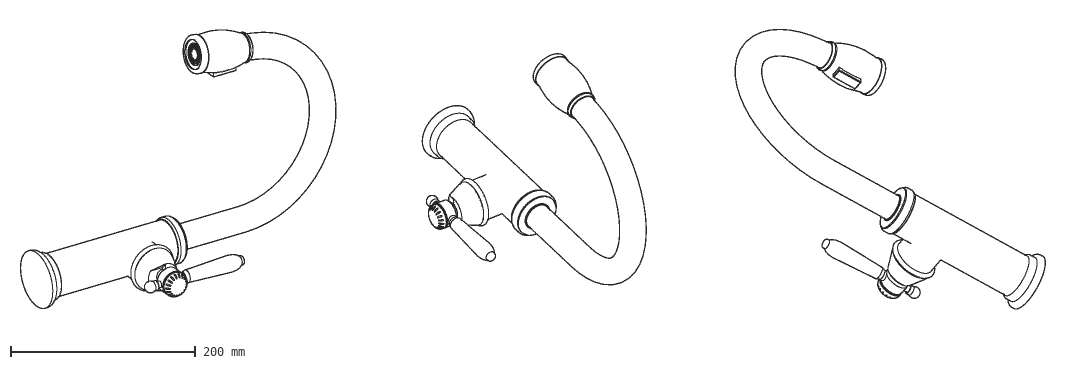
import cadquery as cq
import math

X_DIR = cq.Vector(1, 0, 0)
Y_DIR = cq.Vector(0, 1, 0)

TOTAL_LENGTH = 381.5
BASE_RADIUS = 32.5
BASE_ROUND = 4.5
BASE_HEIGHT = 7.3
PLINTH_ROUND = 2.5
PLINTH_TOP = 16.0
COLUMN_RADIUS = 24.5
PLINTH_RADIUS = COLUMN_RADIUS + PLINTH_ROUND
COLLAR_BOTTOM = 165.5
COLLAR_TOP = 178.0
COLLAR_RADIUS = 26.7
COLLAR_LIP_RADIUS = 25.5
COLLAR_LIP_HEIGHT = 2.5
COLLAR_CAP_HEIGHT = 1.5
COLLAR_ROUND = 2.3

SPOUT_RADIUS = 14.5
SPOUT_BEND_RADIUS = 104.0
BEND_START = TOTAL_LENGTH - SPOUT_RADIUS - SPOUT_BEND_RADIUS
TILT_ANGLE = math.radians(8.4)
HEAD_Y = BEND_START + SPOUT_BEND_RADIUS * math.sin(TILT_ANGLE)
HEAD_Z = SPOUT_BEND_RADIUS * (1 + math.cos(TILT_ANGLE))
SPOUT_SEAT_RADIUS = 15.5
SPOUT_SEAT_TOP = COLLAR_TOP + 1.0

NECK_LENGTH = 11.0
HEAD_STEP_RADIUS = 15.5
HEAD_COLLAR_RADIUS = 16.8
HEAD_COLLAR_END = 14.5
BARREL_START = 16.0
BARREL_START_RADIUS = 16.5
BARREL_BELLY = 45.0
BARREL_BELLY_RADIUS = 23.0
BARREL_END = 69.5
BARREL_END_RADIUS = 20.5
HEAD_RIM_START = 72.0
HEAD_RIM_RADIUS = 21.5
HEAD_LENGTH = 78.5
HEAD_RIM_ROUND = 2.5
FACE_RADIUS = 16.5
FACE_DEPTH = 1.5
NOZZLE_GROOVE_RADII = (6.0, 8.5, 10.5)
NOZZLE_GROOVE_WIDTH = 1.5
NOZZLE_GROOVE_DEPTH = 1.0

BUTTON_LENGTH = 29.0
BUTTON_WIDTH = 11.5
BUTTON_CENTRE_Y = 237.8
BUTTON_BOTTOM_Z = 186.3
BUTTON_HEIGHT = 11.5
BUTTON_BEVEL = 0.8

HUB_Y = 120.2
HUB_RADIUS = 23.0
HUB_RING_START = 41.5
HUB_RING_END = 46.5
HUB_RING_RADIUS = 27.0
CONE_COLLAR_START = 47.7
CONE_COLLAR_RADIUS = 24.8
CONE_START = 51.5
CONE_START_RADIUS = 24.0
CONE_END = 70.2
CONE_END_RADIUS = 16.0
HUB_BLEND = 1.0

NOTCH_BOTTOM = 65.0
NOTCH_HALF_WIDTH = 9.5

STEM_RADIUS = 7.5
KNOB_START = 72.5
KNOB_START_RADIUS = 11.0
KNOB_BAND_START = 75.5
KNOB_BAND_END = 87.0
KNOB_RADIUS = 14.0
KNOB_GROOVE_RADIUS = 13.5
KNOB_CAP_START = 88.5
KNOB_CAP_STRAIGHT = 2.0
KNOB_END = 96.5
KNOB_END_RADIUS = 8.5
FLUTE_COUNT = 18
FLUTE_RADIUS = 0.8

LEVER_X = 81.0
LEVER_NECK_Y = HUB_Y + 16.5
LEVER_NECK_RADIUS = 5.7
LEVER_NECK_TOP = 141.0
LEVER_SHAFT_START = 143.0
LEVER_SHAFT_RADIUS = 7.3
LEVER_WIDEST_Y = 195.8
LEVER_WIDEST_RADIUS = 9.5
LEVER_DOME_END = 208.8
LEVER_TIP_RADIUS = 5.5
LEVER_TIP_END = 212.5
LEVER_TIP_ROUND = 2.0
FINIAL_NECK_RADIUS = 4.0
FINIAL_COLLAR_RADIUS = 5.5
FINIAL_COLLAR_START = 97.7
FINIAL_COLLAR_END = 102.0
FINIAL_BALL_Y = 94.3
FINIAL_BALL_RADIUS = 6.5


def profile(origin, axis, side):
    """Half-section sketch: local x is the radius, local y the distance along the axis."""
    plane = cq.Plane(origin=origin, xDir=side, normal=side.cross(axis))
    return cq.Workplane(plane).moveTo(0, 0)


def turn(outline):
    return outline.close().revolve(360, (0, 0, 0), (0, 1, 0))


def quarter_round(outline, radius, height, size):
    """Go up to a convex quarter-round whose outer corner is at (radius, height)."""
    middle = (radius - size + size * math.sqrt(0.5), height - size + size * math.sqrt(0.5))
    return outline.lineTo(radius, height - size).threePointArc(middle, (radius - size, height))


def make_column():
    outline = profile((0, 0, 0), Y_DIR, X_DIR).lineTo(BASE_RADIUS, 0)
    outline = quarter_round(outline, BASE_RADIUS, BASE_HEIGHT, BASE_ROUND)
    outline = outline.lineTo(PLINTH_RADIUS, BASE_HEIGHT)
    outline = quarter_round(outline, PLINTH_RADIUS, PLINTH_TOP, PLINTH_ROUND)
    outline = (
        outline.lineTo(COLUMN_RADIUS, COLLAR_BOTTOM)
        .lineTo(COLLAR_LIP_RADIUS, COLLAR_BOTTOM)
        .lineTo(COLLAR_RADIUS, COLLAR_BOTTOM + COLLAR_LIP_HEIGHT)
    )
    outline = quarter_round(outline, COLLAR_RADIUS, COLLAR_TOP - COLLAR_CAP_HEIGHT, COLLAR_ROUND)
    outline = (
        outline.lineTo(COLLAR_RADIUS - COLLAR_ROUND, COLLAR_TOP)
        .lineTo(SPOUT_SEAT_RADIUS, COLLAR_TOP)
        .lineTo(SPOUT_SEAT_RADIUS, SPOUT_SEAT_TOP)
        .lineTo(0, SPOUT_SEAT_TOP)
    )
    return turn(outline)


def make_spout():
    return (
        cq.Workplane("XZ", origin=(0, COLLAR_BOTTOM, 0))
        .circle(SPOUT_RADIUS)
        .sweep(
            cq.Workplane("YZ")
            .moveTo(COLLAR_BOTTOM, 0)
            .lineTo(BEND_START, 0)
            .threePointArc((BEND_START + SPOUT_BEND_RADIUS, SPOUT_BEND_RADIUS), (HEAD_Y, HEAD_Z))
        )
    )


def make_head():
    axis = cq.Vector(0, -math.cos(TILT_ANGLE), math.sin(TILT_ANGLE))
    outline = (
        profile((0, HEAD_Y, HEAD_Z), axis, X_DIR)
        .lineTo(SPOUT_RADIUS, 0)
        .lineTo(SPOUT_RADIUS, NECK_LENGTH)
        .lineTo(HEAD_STEP_RADIUS, NECK_LENGTH)
        .threePointArc(
            (HEAD_COLLAR_RADIUS, (NECK_LENGTH + HEAD_COLLAR_END) / 2),
            (BARREL_START_RADIUS, HEAD_COLLAR_END),
        )
        .lineTo(BARREL_START_RADIUS, BARREL_START)
        .threePointArc((BARREL_BELLY_RADIUS, BARREL_BELLY), (BARREL_END_RADIUS, BARREL_END))
        .lineTo(BARREL_END_RADIUS, HEAD_RIM_START)
        .lineTo(HEAD_RIM_RADIUS, HEAD_RIM_START)
    )
    outline = quarter_round(outline, HEAD_RIM_RADIUS, HEAD_LENGTH, HEAD_RIM_ROUND)
    outline = (
        outline.lineTo(FACE_RADIUS, HEAD_LENGTH)
        .lineTo(FACE_RADIUS, HEAD_LENGTH - FACE_DEPTH)
        .lineTo(0, HEAD_LENGTH - FACE_DEPTH)
    )
    head = turn(outline)

    face_centre = cq.Vector(0, HEAD_Y, HEAD_Z) + axis * (HEAD_LENGTH - FACE_DEPTH)
    face = cq.Workplane(cq.Plane(origin=face_centre, xDir=X_DIR, normal=axis))
    for radius in NOZZLE_GROOVE_RADII:
        groove = face.circle(radius + NOZZLE_GROOVE_WIDTH).circle(radius).extrude(-NOZZLE_GROOVE_DEPTH)
        head = head.cut(groove)
    return head


def make_button():
    return (
        cq.Workplane("XY", origin=(0, BUTTON_CENTRE_Y, BUTTON_BOTTOM_Z))
        .rect(BUTTON_WIDTH, BUTTON_LENGTH)
        .extrude(BUTTON_HEIGHT)
        .faces("<Z")
        .chamfer(BUTTON_BEVEL)
    )


def make_hub():
    ring_round = (HUB_RING_END - HUB_RING_START) / 2
    outline = (
        profile((0, HUB_Y, 0), X_DIR, Y_DIR)
        .lineTo(HUB_RADIUS, 0)
        .lineTo(HUB_RADIUS, HUB_RING_START)
        .lineTo(HUB_RING_RADIUS - ring_round, HUB_RING_START)
        .threePointArc(
            (HUB_RING_RADIUS, HUB_RING_START + ring_round),
            (HUB_RING_RADIUS - ring_round, HUB_RING_END),
        )
        .lineTo(HUB_RADIUS, HUB_RING_END)
        .lineTo(HUB_RADIUS, CONE_COLLAR_START)
        .lineTo(CONE_COLLAR_RADIUS, CONE_COLLAR_START)
        .lineTo(CONE_START_RADIUS, CONE_START)
        .lineTo(CONE_END_RADIUS, CONE_END)
        .lineTo(0, CONE_END)
    )
    notch_depth = CONE_END - NOTCH_BOTTOM
    notch = (
        cq.Workplane("XZ", origin=(0, HUB_Y, 0))
        .moveTo(NOTCH_BOTTOM, -NOTCH_HALF_WIDTH)
        .lineTo(CONE_END, -NOTCH_HALF_WIDTH - notch_depth)
        .lineTo(CONE_END, NOTCH_HALF_WIDTH + notch_depth)
        .lineTo(NOTCH_BOTTOM, NOTCH_HALF_WIDTH)
        .close()
        .extrude(HUB_RING_RADIUS)
    )
    return turn(outline).cut(notch)


def make_knob():
    dome_start = KNOB_CAP_START + KNOB_CAP_STRAIGHT
    dome_middle = (
        KNOB_END_RADIUS + (KNOB_RADIUS - KNOB_END_RADIUS) * math.sqrt(0.5),
        dome_start + (KNOB_END - dome_start) * math.sqrt(0.5),
    )
    outline = (
        profile((0, HUB_Y, 0), X_DIR, Y_DIR)
        .moveTo(0, CONE_START)
        .lineTo(STEM_RADIUS, CONE_START)
        .lineTo(STEM_RADIUS, KNOB_START)
        .lineTo(KNOB_START_RADIUS, KNOB_START)
        .lineTo(KNOB_RADIUS, KNOB_BAND_START)
        .lineTo(KNOB_RADIUS, KNOB_BAND_END)
        .lineTo(KNOB_GROOVE_RADIUS, KNOB_BAND_END)
        .lineTo(KNOB_GROOVE_RADIUS, KNOB_CAP_START)
        .lineTo(KNOB_RADIUS, KNOB_CAP_START)
        .lineTo(KNOB_RADIUS, dome_start)
        .threePointArc(dome_middle, (KNOB_END_RADIUS, KNOB_END))
        .lineTo(0, KNOB_END)
    )
    knob = turn(outline)

    flute_axis = cq.Vector(KNOB_END - dome_start, KNOB_END_RADIUS - KNOB_RADIUS, 0)
    middle_radius, middle_x = dome_middle
    flute = cq.Solid.makeCylinder(
        FLUTE_RADIUS,
        2 * flute_axis.Length,
        cq.Vector(middle_x, HUB_Y + middle_radius, 0) - flute_axis,
        flute_axis,
    )
    for index in range(FLUTE_COUNT):
        turned_flute = flute.rotate((0, HUB_Y, 0), (1, HUB_Y, 0), index * 360 / FLUTE_COUNT)
        knob = knob.cut(cq.Workplane(turned_flute))
    return knob


def make_lever():
    along = (0, 1)
    inward = (-1, 1)
    outline = (
        profile((LEVER_X, 0, 0), Y_DIR, X_DIR)
        .moveTo(0, HUB_Y)
        .lineTo(LEVER_NECK_RADIUS, HUB_Y)
        .lineTo(LEVER_NECK_RADIUS, LEVER_NECK_Y)
        .lineTo(LEVER_SHAFT_RADIUS, LEVER_NECK_TOP)
        .lineTo(LEVER_SHAFT_RADIUS, LEVER_SHAFT_START)
        .spline([(LEVER_WIDEST_RADIUS, LEVER_WIDEST_Y)], [along, along], includeCurrent=True)
        .spline([(LEVER_TIP_RADIUS, LEVER_DOME_END)], [along, inward], includeCurrent=True)
    )
    outline = quarter_round(outline, LEVER_TIP_RADIUS, LEVER_TIP_END, LEVER_TIP_ROUND)
    return turn(outline.lineTo(0, LEVER_TIP_END))


def make_finial():
    stalk = (
        profile((LEVER_X, 0, 0), Y_DIR, X_DIR)
        .moveTo(0, FINIAL_BALL_Y)
        .lineTo(FINIAL_NECK_RADIUS, FINIAL_BALL_Y)
        .lineTo(FINIAL_NECK_RADIUS, FINIAL_COLLAR_START)
        .lineTo(FINIAL_COLLAR_RADIUS, FINIAL_COLLAR_START)
        .lineTo(FINIAL_COLLAR_RADIUS, FINIAL_COLLAR_END)
        .lineTo(FINIAL_NECK_RADIUS, FINIAL_COLLAR_END)
        .lineTo(FINIAL_NECK_RADIUS, HUB_Y)
        .lineTo(0, HUB_Y)
    )
    ball = cq.Workplane("XY", origin=(LEVER_X, FINIAL_BALL_Y, 0)).sphere(FINIAL_BALL_RADIUS)
    return turn(stalk).union(ball)


body = make_column().union(make_hub())
joint = cq.selectors.BoxSelector(
    (0, HUB_Y - HUB_RING_RADIUS, -HUB_RING_RADIUS),
    (COLUMN_RADIUS, HUB_Y + HUB_RING_RADIUS, HUB_RING_RADIUS),
)
body = body.edges(joint).fillet(HUB_BLEND)

result = (
    body.union(make_spout())
    .union(make_head())
    .union(make_button())
    .union(make_knob())
    .union(make_lever())
    .union(make_finial())
)